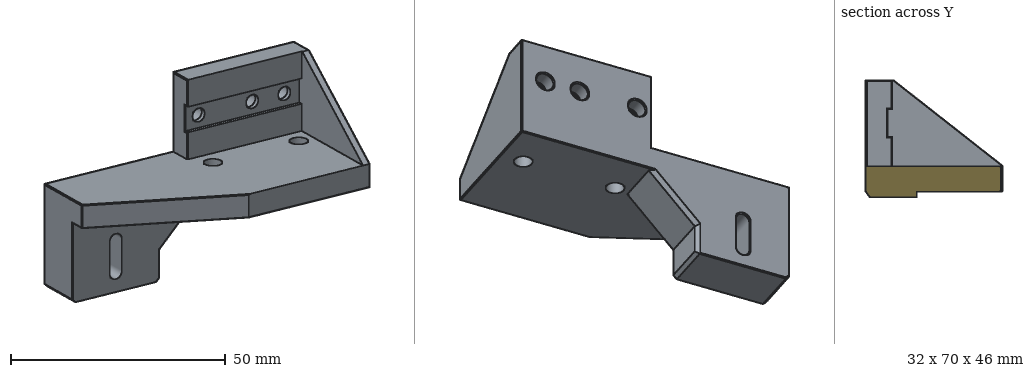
import cadquery as cq

WIDTH = 32.0
LENGTH = 70.0
HEIGHT = 46.0

PLATE_THICKNESS = 6.0
PLATE_BOTTOM = 20.0
PLATE_TOP = PLATE_BOTTOM + PLATE_THICKNESS
NOSE_WIDTH = 16.0
SHOULDER_Y = 36.0

WALL_THICKNESS = 6.25
GROOVE_DEPTH = 1.0
GROOVE_WIDTH = 6.4
GROOVE_Z = (PLATE_TOP + HEIGHT) / 2

WEB_THICKNESS = 2.0
WEB_TOP_WIDTH = 6.5

LEG_WIDTH = 12.0
LEG_LENGTH = 24.3
GUSSET_SIZE = 12.0

WALL_HOLE_Y = (39.8, 54.8, 63.8)
WALL_HOLE_DIAMETER = 3.4
INSERT_DIAMETER = 4.4
INSERT_DEPTH = 4.0
PLATE_HOLE_X = 11.0
PLATE_HOLE_Y = (40.0, 64.0)
PLATE_HOLE_DIAMETER = 4.4
SLOT_Y = 12.15
SLOT_Z = 9.0
SLOT_WIDTH = 3.4
SLOT_LENGTH = 11.4

EDGE_CHAMFER = 0.25
HOLE_CHAMFER = 0.3
LEG_END_CHAMFER = 0.9
LEG_BACK_CHAMFER = 1.0

TOLERANCE = 0.01


def box(x_range, y_range, z_range):
    """Box spanning the given ranges."""
    size = [high - low for low, high in (x_range, y_range, z_range)]
    corner = (x_range[0], y_range[0], z_range[0])
    return cq.Workplane("XY").box(*size, centered=False).translate(corner)


def edges_where(solid, condition):
    """Edges of the solid whose bounding box meets the condition."""
    chosen = [edge for edge in solid.edges().vals() if condition(edge.BoundingBox())]
    return solid.newObject(chosen)


def lies_at(low, high, value):
    """True when a coordinate range collapses onto one value."""
    return abs(low - value) < TOLERANCE and abs(high - value) < TOLERANCE


def above(value, limit):
    """True when a coordinate is clearly greater than the limit."""
    return value > limit + TOLERANCE


def make_plate():
    """Plate narrowing toward its front, with a broken nose corner."""
    outline = [
        (0, 0),
        (NOSE_WIDTH, 0),
        (WIDTH, SHOULDER_Y),
        (WIDTH, LENGTH),
        (0, LENGTH),
    ]
    base = cq.Workplane("XY").workplane(offset=PLATE_BOTTOM)
    plate = base.polyline(outline).close().extrude(PLATE_THICKNESS)
    nose_corner = cq.NearestToPointSelector((NOSE_WIDTH, 0, PLATE_BOTTOM + PLATE_THICKNESS / 2))
    return plate.edges(nose_corner).chamfer(EDGE_CHAMFER)


def make_wall():
    """Upright wall with a lengthwise groove on its inner side."""
    wall = box((0, WALL_THICKNESS), (SHOULDER_Y, LENGTH), (PLATE_TOP, HEIGHT))
    groove_z = (GROOVE_Z - GROOVE_WIDTH / 2, GROOVE_Z + GROOVE_WIDTH / 2)
    groove = box((WALL_THICKNESS - GROOVE_DEPTH, WALL_THICKNESS), (SHOULDER_Y, LENGTH), groove_z)
    return wall.cut(groove)


def make_web():
    """Sloping web joining the wall and the plate at the rear."""
    outline = [(0, PLATE_TOP), (WIDTH, PLATE_TOP), (WEB_TOP_WIDTH, HEIGHT), (0, HEIGHT)]
    web = cq.Workplane("XZ").polyline(outline).close().extrude(WEB_THICKNESS)
    return web.translate((0, LENGTH, 0))


def make_leg():
    """Leg below the plate with a slanted rear gusset."""
    outline = [
        (0, 0),
        (LEG_LENGTH, 0),
        (LEG_LENGTH, PLATE_BOTTOM - GUSSET_SIZE),
        (LEG_LENGTH + GUSSET_SIZE, PLATE_BOTTOM),
        (0, PLATE_BOTTOM),
    ]
    leg = cq.Workplane("YZ").polyline(outline).close().extrude(LEG_WIDTH)
    return leg.edges("|X and <Z").chamfer(LEG_END_CHAMFER)


def make_wall_hole(y):
    """Through hole with a wider, chamfered insert bore on the outer face."""
    plane = cq.Workplane("YZ", origin=(0, y, GROOVE_Z))
    hole = plane.circle(WALL_HOLE_DIAMETER / 2).extrude(WALL_THICKNESS)
    bore = plane.circle(INSERT_DIAMETER / 2).extrude(INSERT_DEPTH)
    mouth = plane.circle(INSERT_DIAMETER / 2 + HOLE_CHAMFER).extrude(HOLE_CHAMFER, taper=45)
    return hole.union(bore).union(mouth)


def make_plate_hole(y):
    """Plain upright hole through the plate."""
    plane = cq.Workplane("XY", origin=(PLATE_HOLE_X, y, PLATE_BOTTOM))
    return plane.circle(PLATE_HOLE_DIAMETER / 2).extrude(PLATE_THICKNESS)


def make_slot():
    """Upright slot through the leg with a chamfered mouth."""
    plane = cq.Workplane("YZ", origin=(0, SLOT_Y, SLOT_Z))
    slot = plane.slot2D(SLOT_LENGTH, SLOT_WIDTH, 90).extrude(LEG_WIDTH)
    rim = 2 * HOLE_CHAMFER
    mouth = plane.slot2D(SLOT_LENGTH + rim, SLOT_WIDTH + rim, 90).extrude(HOLE_CHAMFER, taper=45)
    return slot.union(mouth)


def is_leg_back_edge(bounds):
    """Rear upright and slanted edges of the leg on the outer face."""
    on_outer_face = lies_at(bounds.xmin, bounds.xmax, 0)
    on_leg_back = not above(LEG_LENGTH, bounds.ymin) and not above(bounds.zmax, PLATE_BOTTOM)
    longer_than_end_chamfer = above(bounds.zmax - bounds.zmin, LEG_END_CHAMFER)
    return on_outer_face and on_leg_back and longer_than_end_chamfer


def is_outer_face_edge(bounds):
    """Outline of the outer face, without the rear of the leg."""
    on_outer_face = lies_at(bounds.xmin, bounds.xmax, 0)
    behind_leg_front = above(bounds.ymin, LEG_END_CHAMFER)
    rises_below_plate = above(bounds.zmax, bounds.zmin) and not above(bounds.zmax, PLATE_BOTTOM)
    return on_outer_face and not (behind_leg_front and rises_below_plate)


def is_wall_front_edge(bounds):
    """Free edges of the wall's front face, including the groove mouth."""
    on_wall_front = lies_at(bounds.ymin, bounds.ymax, SHOULDER_Y)
    return on_wall_front and above(bounds.zmax, PLATE_TOP) and above(bounds.xmax, 0)


def is_rear_edge(bounds):
    """Outline of the rear face, without its outer upright edge."""
    return lies_at(bounds.ymin, bounds.ymax, LENGTH) and above(bounds.xmax, 0)


def is_plate_rim_edge(bounds):
    """Plate edges along its front and slanted side, and below its long side."""
    at_top = lies_at(bounds.zmin, bounds.zmax, PLATE_TOP)
    at_bottom = lies_at(bounds.zmin, bounds.zmax, PLATE_BOTTOM)
    before_shoulder = above(SHOULDER_Y, bounds.ymin) and not above(bounds.ymax, SHOULDER_Y)
    along_nose = before_shoulder and above(bounds.xmax, LEG_WIDTH)
    along_long_side = lies_at(bounds.xmin, bounds.xmax, WIDTH)
    return (along_nose and (at_top or at_bottom)) or (along_long_side and at_bottom)


def is_leg_front_edge(bounds):
    """Upright front edge on the leg's inner side."""
    return lies_at(bounds.xmin, bounds.xmax, LEG_WIDTH) and lies_at(bounds.ymin, bounds.ymax, 0)


EDGE_GROUPS = (
    is_outer_face_edge,
    is_wall_front_edge,
    is_rear_edge,
    is_plate_rim_edge,
    is_leg_front_edge,
)

body = make_plate().union(make_wall()).union(make_web()).union(make_leg()).clean()
body = edges_where(body, is_leg_back_edge).chamfer(LEG_BACK_CHAMFER)
for group in EDGE_GROUPS:
    body = edges_where(body, group).chamfer(EDGE_CHAMFER)

for hole_y in WALL_HOLE_Y:
    body = body.cut(make_wall_hole(hole_y))
for hole_y in PLATE_HOLE_Y:
    body = body.cut(make_plate_hole(hole_y))
result = body.cut(make_slot())